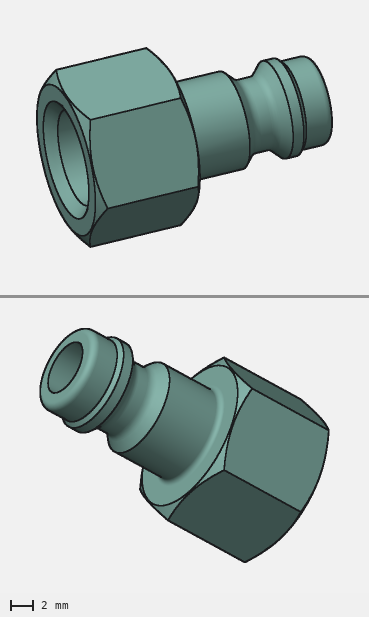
import cadquery as cq
import math

total_length = 24.0
hex_length = 10.0

across_flats = 14.0
across_corners = across_flats / math.cos(math.pi / 6)
chamfer_circle_radius = 6.9
chamfer_angle = math.radians(30)

body_radius = 4.46
neck_radius = 3.35
tip_radius = 4.05

body_end = 15.77
neck_center = 17.83
collar_start = 2 * neck_center - body_end
collar_end = 20.93

root_fillet = 0.5
neck_fillet = 1.0
tip_fillet = 0.62

mouth_radius = 5.35
socket_radius = 4.37
bore_radius = 2.5
socket_depth = 8.0
mouth_angle = math.radians(45)
drill_tip_angle = math.radians(59)


def revolve_about_y(profile):
    """Turn a closed half profile (radius, Y) around the Y axis."""
    return profile.close().revolve(360, (0, 0, 0), (0, 1, 0))


def make_hexagon():
    """Hexagonal prism with both ends turned to a cone at the corners."""
    prism = cq.Workplane("XZ").polygon(6, across_corners).extrude(-hex_length)
    corner_radius = across_corners / 2
    drop = (corner_radius - chamfer_circle_radius) * math.tan(chamfer_angle)
    envelope = revolve_about_y(
        cq.Workplane("XY")
        .lineTo(chamfer_circle_radius, 0)
        .lineTo(corner_radius, drop)
        .lineTo(corner_radius, hex_length - drop)
        .lineTo(chamfer_circle_radius, hex_length)
        .lineTo(0, hex_length)
    )
    return prism.intersect(envelope)


def make_plug():
    """Turned plug: flared root, body, waisted neck, collar and rounded tip."""
    flank_height = body_radius - neck_radius
    tangent_rise = neck_fillet * (1 - math.cos(math.pi / 4))
    tangent_run = neck_fillet * math.sin(math.pi / 4)
    flank_run = flank_height - tangent_rise
    arc_mid_rise = neck_fillet * (1 - math.cos(math.pi / 8))
    arc_mid_run = neck_fillet * (math.sin(math.pi / 4) - math.sin(math.pi / 8))
    flank_foot_radius = neck_radius + tangent_rise
    arc_mid_radius = neck_radius + arc_mid_rise
    lower_foot = body_end + flank_run
    upper_foot = collar_start - flank_run
    collar_chamfer = body_radius - tip_radius

    return revolve_about_y(
        cq.Workplane("XY")
        .lineTo(body_radius + root_fillet, 0)
        .lineTo(body_radius + root_fillet, hex_length)
        .radiusArc((body_radius, hex_length + root_fillet), root_fillet)
        .lineTo(body_radius, body_end)
        .lineTo(flank_foot_radius, lower_foot)
        .threePointArc((arc_mid_radius, lower_foot + arc_mid_run), (neck_radius, lower_foot + tangent_run))
        .lineTo(neck_radius, upper_foot - tangent_run)
        .threePointArc((arc_mid_radius, upper_foot - arc_mid_run), (flank_foot_radius, upper_foot))
        .lineTo(body_radius, collar_start)
        .lineTo(body_radius, collar_end)
        .lineTo(tip_radius, collar_end + collar_chamfer)
        .lineTo(tip_radius, total_length - tip_fillet)
        .radiusArc((tip_radius - tip_fillet, total_length), -tip_fillet)
        .lineTo(0, total_length)
    )


def make_cavity():
    """Countersunk socket with a drill-point floor opening into the through bore."""
    mouth_depth = (mouth_radius - socket_radius) / math.tan(mouth_angle)
    floor_depth = (socket_radius - bore_radius) / math.tan(drill_tip_angle)
    return revolve_about_y(
        cq.Workplane("XY")
        .lineTo(mouth_radius, 0)
        .lineTo(socket_radius, mouth_depth)
        .lineTo(socket_radius, socket_depth)
        .lineTo(bore_radius, socket_depth + floor_depth)
        .lineTo(bore_radius, total_length)
        .lineTo(0, total_length)
    )


result = make_hexagon().union(make_plug()).cut(make_cavity())